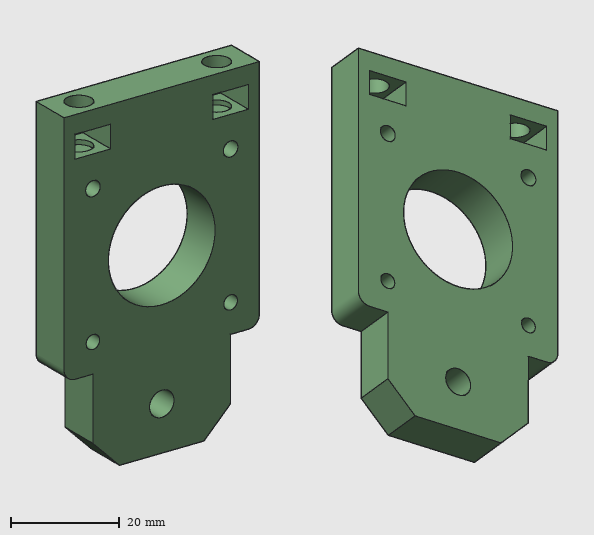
import cadquery as cq

THICKNESS = 9.0
BODY_WIDTH = 44.0
HEIGHT = 73.5
SHOULDER_HEIGHT = 20.0
SHOULDER_RADIUS = 2.5
TAB_WIDTH = 31.0
TAB_CHAMFER = 6.0

BORE_DIAMETER = 24.0
BORE_HEIGHT = 42.0
MOUNT_SPACING = 31.0
UPPER_MOUNT_DIAMETER = 3.26
LOWER_MOUNT_DIAMETERS = {-1: 3.03, 1: 3.06}
TAB_HOLE_DIAMETER = 5.5
TAB_HOLE_HEIGHT = SHOULDER_HEIGHT / 2

SLOT_WIDTH = 8.0
SLOT_TOP = 69.5
SLOT_BOTTOM = 64.5
BOLT_HOLE_DIAMETER = 5.5
BOLT_HOLE_DEPTH = 10.0

SIDES = (-1, 1)


def box_across_plate(width, bottom, top, center_y=0.0):
    """Block through the full thickness, spanning bottom to top in Z."""
    return (
        cq.Workplane("XY", origin=(0, center_y, bottom))
        .box(THICKNESS, width, top - bottom, centered=(True, True, False))
    )


def cylinder_along_x(diameter, center_y, center_z):
    """Cylinder through the full thickness of the plate."""
    return (
        cq.Workplane("YZ", origin=(-THICKNESS / 2, center_y, center_z))
        .circle(diameter / 2)
        .extrude(THICKNESS)
    )


def make_plate():
    """Wide body with rounded lower corners over a narrower chamfered tab."""
    body = (
        box_across_plate(BODY_WIDTH, SHOULDER_HEIGHT, HEIGHT)
        .edges("|X and <Z")
        .fillet(SHOULDER_RADIUS)
    )
    tab = (
        box_across_plate(TAB_WIDTH, 0, SHOULDER_HEIGHT)
        .edges("|X and <Z")
        .chamfer(TAB_CHAMFER)
    )
    return body.union(tab)


def cut_through_holes(plate):
    """Central bore, four mounting holes around it and the tab hole."""
    plate = plate.cut(cylinder_along_x(BORE_DIAMETER, 0, BORE_HEIGHT))
    plate = plate.cut(cylinder_along_x(TAB_HOLE_DIAMETER, 0, TAB_HOLE_HEIGHT))
    offset = MOUNT_SPACING / 2
    for side in SIDES:
        center_y = side * offset
        upper_hole = cylinder_along_x(UPPER_MOUNT_DIAMETER, center_y, BORE_HEIGHT + offset)
        lower_hole = cylinder_along_x(LOWER_MOUNT_DIAMETERS[side], center_y, BORE_HEIGHT - offset)
        plate = plate.cut(upper_hole).cut(lower_hole)
    return plate


def cut_nut_slots(plate):
    """Through slots with a blind bolt hole sunk from the top edge past each slot."""
    for side in SIDES:
        center_y = side * MOUNT_SPACING / 2
        slot = box_across_plate(SLOT_WIDTH, SLOT_BOTTOM, SLOT_TOP, center_y)
        bolt_hole = (
            cq.Workplane("XY", origin=(0, center_y, HEIGHT - BOLT_HOLE_DEPTH))
            .circle(BOLT_HOLE_DIAMETER / 2)
            .extrude(BOLT_HOLE_DEPTH)
        )
        plate = plate.cut(slot).cut(bolt_hole)
    return plate


result = cut_nut_slots(cut_through_holes(make_plate()))